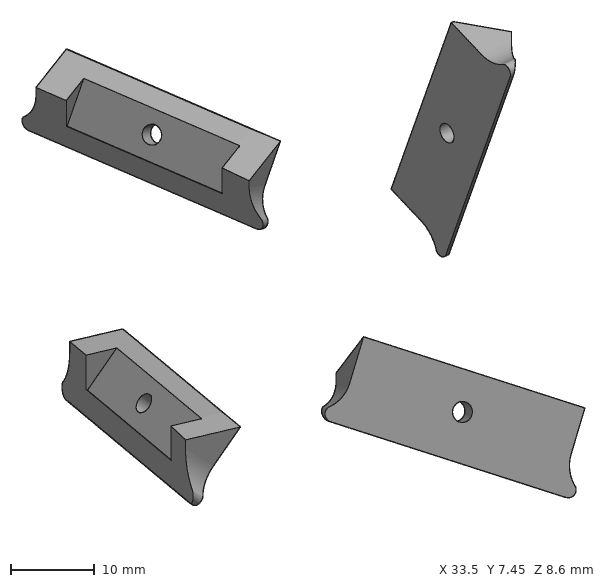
import cadquery as cq
import math

length = 33.45
depth = 7.45
height = 8.6

toe_y = 0.45
tip_drop = 0.25
slope_rise = height - tip_drop
slope_run = depth - toe_y
slope_length = math.hypot(slope_run, slope_rise)
slope_cos = slope_run / slope_length
slope_sin = slope_rise / slope_length

body_width = 29.55
foot_height = 1.55
flare_top = 5.15
toe_radius = 0.97

pocket_left = -10.57
pocket_right = 11.05
floor_thickness = 2.68
pocket_bottom = 2.8

hole_diameter = 2.5
hole_height = 5.95

ramp_start = 10.85

slope_plane = cq.Plane(
    origin=(0, toe_y, 0), xDir=(1, 0, 0), normal=(0, -slope_sin, slope_cos)
)
sweep = depth + height


def make_plate():
    """Extrude the flared outline at right angles to the slope."""
    half_length = length / 2
    half_body = body_width / 2
    toe_x = half_length - toe_radius
    foot_x = toe_x + math.sqrt(toe_radius**2 - (foot_height - toe_radius) ** 2)
    flare_width = foot_x - half_body
    flare_rise = flare_top - foot_height
    flare_radius = (flare_width**2 + flare_rise**2) / (2 * flare_width)
    half_angle = math.asin(flare_rise / flare_radius) / 2
    mid_x = half_body + flare_radius * (1 - math.cos(half_angle))
    mid_y = flare_top - flare_radius * math.sin(half_angle)
    return (
        cq.Workplane(slope_plane)
        .moveTo(-toe_x, 0)
        .lineTo(toe_x, 0)
        .threePointArc((half_length, toe_radius), (foot_x, foot_height))
        .threePointArc((mid_x, mid_y), (half_body, flare_top))
        .lineTo(half_body, slope_length)
        .lineTo(-half_body, slope_length)
        .lineTo(-half_body, flare_top)
        .threePointArc((-mid_x, mid_y), (-foot_x, foot_height))
        .threePointArc((-half_length, toe_radius), (-toe_x, 0))
        .close()
        .extrude(sweep)
    )


def make_envelope():
    """Block that trims the plate to the front face and the flat top."""
    return cq.Workplane("XY").box(length, depth, height, centered=(True, False, False))


def make_ramp():
    """Wedge cutter that lowers the top face towards its right end."""
    half_body = body_width / 2
    return (
        cq.Workplane("XZ")
        .moveTo(ramp_start, height)
        .lineTo(half_body, height - tip_drop)
        .lineTo(half_body, height)
        .close()
        .extrude(-depth)
    )


def make_pocket():
    """Cutter for the pocket, open to the front and the top."""
    return (
        cq.Workplane(slope_plane)
        .workplane(offset=floor_thickness)
        .moveTo(pocket_left, pocket_bottom)
        .lineTo(pocket_right, pocket_bottom)
        .lineTo(pocket_right, pocket_bottom + sweep)
        .lineTo(pocket_left, pocket_bottom + sweep)
        .close()
        .extrude(sweep)
    )


def make_hole():
    """Cutter for the hole through the pocket floor."""
    return (
        cq.Workplane(slope_plane)
        .center(0, hole_height)
        .circle(hole_diameter / 2)
        .extrude(sweep)
    )


result = (
    make_plate()
    .intersect(make_envelope())
    .cut(make_ramp())
    .cut(make_pocket())
    .cut(make_hole())
)